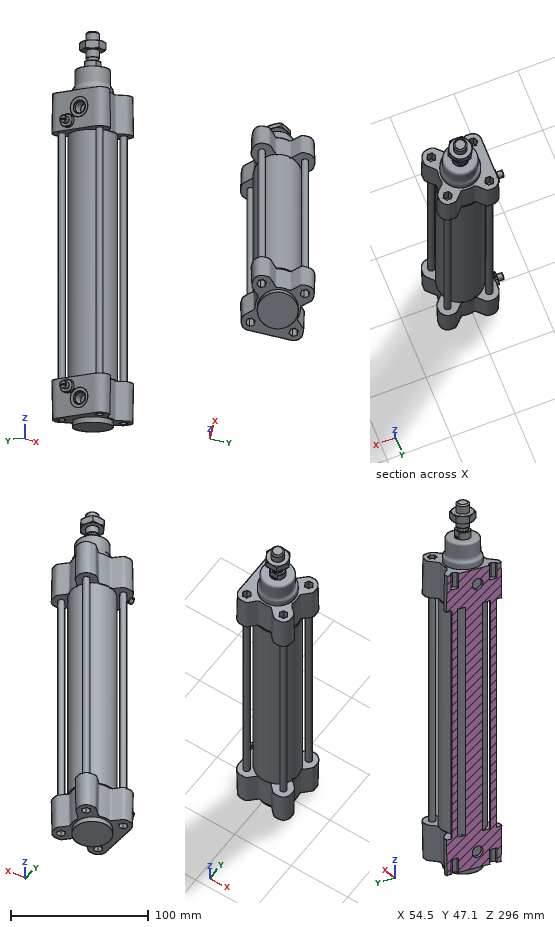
import cadquery as cq
import math

total_height = 296.0
spigot_height = 4.0
cap_height = 29.3
front_cap_top = 248.3
rear_cap_top = spigot_height + cap_height
front_cap_bottom = front_cap_top - cap_height

cap_half_width = 23.53
cap_draft_angle = 1.0
cap_corner_radius = 7.0
valley_floor_radius = 17.2
valley_mouth_half_width = 12.0
valley_mouth_radius = 4.5
valley_root_radius = 1.8
spigot_diameter = 30.0

tie_rod_offset = 16.3
tie_rod_diameter = 5.3
socket_width = 6.0
socket_depth = 11.8
tube_diameter = 36.0

port_y = -3.0
port_height = 16.3
port_diameter = 10.0
port_thread_diameter = 8.5
port_chamfer = (port_diameter - port_thread_diameter) / 2
port_depth = 9.0
port_face_diameter = 15.0
port_face_x = -23.0

screw_y = 6.2
screw_height = 6.8
screw_tip_x = -30.93
screw_diameter = 5.3
screw_head_length = 4.7
screw_flange_diameter = 10.0
screw_flats_width = 8.5
screw_flange_x = -25.0
screw_slot_width = 1.0
screw_slot_depth = 1.2

collar_height = 3.5
collar_round_height = 1.8
guide_base = 256.3
guide_diameter = 26.0
guide_top = 268.2
guide_top_radius = 1.8

rod_diameter = 12.0
rod_shoulder = 274.0
rod_shoulder_chamfer = 0.3
rod_flats_width = 10.0
rod_flats_bottom = 269.0
neck_diameter = 8.5
thread_bottom = 276.8
thread_diameter = 10.0
thread_chamfer = 1.2

nut_width = 17.0
nut_bottom = 282.5
nut_height = 6.2
nut_chamfer_angle = math.radians(30)


def cylinder(diameter, bottom, top, x=0.0, y=0.0):
    """Upright cylinder between two heights."""
    return cq.Workplane("XY", origin=(x, y, bottom)).circle(diameter / 2).extrude(top - bottom)


def hexagon_prism(width, bottom, top, x=0.0, y=0.0):
    """Upright hexagon of a given width across its flats, with two corners along X."""
    corner_diameter = width / math.cos(math.pi / 6)
    return cq.Workplane("XY", origin=(x, y, bottom)).polygon(6, corner_diameter).extrude(top - bottom)


def side_cylinder(diameter, x_start, x_end, y, z):
    """Cylinder along +X between two X positions."""
    return cq.Workplane("YZ", origin=(x_start, y, z)).circle(diameter / 2).extrude(x_end - x_start)


def tie_rod_places():
    return [(x, y) for x in (-tie_rod_offset, tie_rod_offset) for y in (-tie_rod_offset, tie_rod_offset)]


def cap_block():
    """Drafted cap with its wide tube-side face at Z = 0 and its outer face at Z = cap_height."""
    valley_side_shift = cap_half_width - valley_mouth_half_width
    floor_y = (math.sqrt(2 * valley_floor_radius**2 - valley_side_shift**2) - valley_side_shift) / 2
    floor_x = floor_y + valley_side_shift
    outline = cq.Workplane("XY").moveTo(-cap_half_width, cap_half_width)
    outline = outline.lineTo(-cap_half_width, -cap_half_width)
    for cosine, sine in ((0, -1), (1, 0), (0, 1)):
        def turned(x, y):
            return (x * cosine - y * sine, x * sine + y * cosine)

        outline = (
            outline.lineTo(*turned(cap_half_width, -valley_mouth_half_width))
            .lineTo(*turned(floor_x, -floor_y))
            .threePointArc(turned(valley_floor_radius, 0), turned(floor_x, floor_y))
            .lineTo(*turned(cap_half_width, valley_mouth_half_width))
        )
        if sine < 1:
            outline = outline.lineTo(*turned(cap_half_width, cap_half_width))
    straight_block = outline.close().extrude(cap_height)

    def round_edges(body, x, y, radius):
        """Round the upright edges at (+-x, +-y) and (+-y, +-x)."""
        def matches(edge):
            centre = edge.Center()
            return math.dist(sorted((abs(centre.x), abs(centre.y))), sorted((x, y))) < radius / 10

        return body.edges("|Z").filter(matches).fillet(radius)

    straight_block = round_edges(straight_block, cap_half_width, cap_half_width, cap_corner_radius)
    straight_block = round_edges(straight_block, cap_half_width, valley_mouth_half_width, valley_mouth_radius)
    straight_block = round_edges(straight_block, floor_x, floor_y, valley_root_radius)
    rounded_outline = straight_block.faces("<Z").wires().toPending()
    return rounded_outline.extrude(cap_height, combine=False, taper=cap_draft_angle)


def cushion_screw():
    """Stepped screw with a slotted tip, and a collar with flats above and below."""
    collar_x = screw_tip_x + screw_head_length
    slot = cq.Workplane("XY").box(2 * screw_slot_depth, screw_diameter, screw_slot_width)
    head = side_cylinder(screw_diameter, screw_tip_x, collar_x, screw_y, screw_height)
    head = head.cut(slot.translate((screw_tip_x, screw_y, screw_height)))
    collar = side_cylinder(screw_flange_diameter, collar_x, screw_flange_x, screw_y, screw_height)
    flats = cq.Workplane("XY").box(2 * cap_half_width, screw_flange_diameter, screw_flats_width)
    collar = collar.intersect(flats.translate((screw_flange_x, screw_y, screw_height)))
    flange = side_cylinder(screw_flange_diameter, screw_flange_x, -tie_rod_offset, screw_y, screw_height)
    return head.union(collar).union(flange)


def cut_port(cap):
    """Air port: a shallow spot face and a chamfered hole."""
    port_end_x = port_face_x + port_depth
    spot_face = side_cylinder(port_face_diameter, -2 * cap_half_width, port_face_x, port_y, port_height)
    hole = side_cylinder(port_thread_diameter, port_face_x, port_end_x, port_y, port_height)
    mouth = side_cylinder(port_diameter, port_face_x, port_face_x + 2 * port_chamfer, port_y, port_height)
    mouth = mouth.faces(">X").chamfer(port_chamfer)
    return cap.cut(spot_face).cut(hole).cut(mouth)


def end_cap():
    cap = cut_port(cap_block()).union(cushion_screw())
    for x, y in tie_rod_places():
        cap = cap.cut(hexagon_prism(socket_width, cap_height - socket_depth, cap_height, x, y))
    return cap


def rod_guide():
    """Collar and stepped nose on the front cap, as a turned profile."""
    collar_top = front_cap_top + collar_height
    step_share = collar_round_height / (guide_base - collar_top)
    step_width = (spigot_diameter - guide_diameter) / 2
    round_end = (spigot_diameter / 2 - step_share * step_width, collar_top + collar_round_height)
    profile = (
        cq.Workplane("XZ")
        .moveTo(0, front_cap_top)
        .lineTo(spigot_diameter / 2, front_cap_top)
        .lineTo(spigot_diameter / 2, collar_top)
        .tangentArcPoint(round_end, relative=False)
        .tangentArcPoint((guide_diameter / 2, guide_base), relative=False)
        .lineTo(guide_diameter / 2, guide_top)
        .lineTo(0, guide_top)
        .close()
    )
    guide = profile.revolve(360, (0, 0, 0), (0, 1, 0))
    return guide.faces(">Z").edges().fillet(guide_top_radius)


def make_housing():
    """Tube, tie rods, both caps and the rod guide, bored for the piston rod."""
    front_cap = end_cap().translate((0, 0, front_cap_bottom))
    rear_cap = end_cap().mirror("XY").translate((0, 0, rear_cap_top))
    housing = cylinder(tube_diameter, rear_cap_top, front_cap_bottom)
    for x, y in tie_rod_places():
        housing = housing.union(cylinder(tie_rod_diameter, rear_cap_top, front_cap_bottom, x, y))
    housing = housing.union(front_cap).union(rear_cap).union(rod_guide())
    housing = housing.union(cylinder(spigot_diameter, 0, spigot_height))
    return housing.cut(cylinder(rod_diameter, front_cap_bottom, guide_top))


def make_piston_rod():
    """Rod with two wrench flats, a neck and a threaded end."""
    shank = cylinder(rod_diameter, front_cap_bottom, rod_shoulder).faces(">Z").chamfer(rod_shoulder_chamfer)
    flats_height = rod_shoulder - rod_flats_bottom
    flats_ring = (
        cq.Workplane("XY", origin=(0, 0, rod_flats_bottom))
        .rect(2 * rod_diameter, 2 * rod_diameter)
        .rect(2 * rod_diameter, rod_flats_width)
        .extrude(flats_height)
    )
    thread = cylinder(thread_diameter, thread_bottom, total_height).faces(">Z").chamfer(thread_chamfer)
    neck = cylinder(neck_diameter, rod_shoulder, thread_bottom)
    return shank.cut(flats_ring).union(neck).union(thread)


def make_nut():
    """Hexagon nut with its corners chamfered on both faces."""
    nut_top = nut_bottom + nut_height
    corner_diameter = nut_width / math.cos(math.pi / 6)
    corner_cut = (corner_diameter - nut_width) / 2
    corner_drop = corner_cut * math.tan(nut_chamfer_angle)
    envelope = cylinder(corner_diameter, nut_bottom, nut_top)
    for face in ("<Z", ">Z"):
        envelope = envelope.faces(face).chamfer(corner_drop, corner_cut)
    bore = cylinder(thread_diameter, nut_bottom, nut_top)
    return hexagon_prism(nut_width, nut_bottom, nut_top).intersect(envelope).cut(bore)


housing = make_housing()
piston_rod = make_piston_rod()
nut = make_nut()

result = cq.Compound.makeCompound([housing.val(), piston_rod.val(), nut.val()])